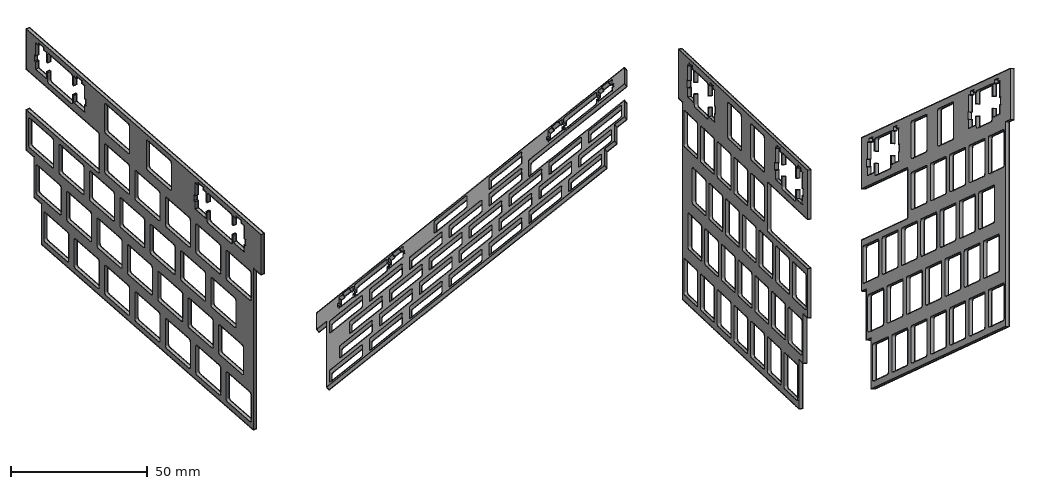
import cadquery as cq

plate_width = 147.2
plate_height = 95.3
plate_thickness = 1.5
row_count = 5
width_in_keys = 7.75
pitch = plate_height / row_count
side_trim = (width_in_keys * pitch - plate_width) / 2

switch_width = 15.6
switch_height = 14.0
corner_radius = 0.9

run_columns = {1: (3, 5), 2: (0.5, 7), 3: (0.75, 7), 4: (1, 7)}
single_columns = (3, 4.375)
stabilised_columns = (1.125, 6.375)

fourth_row_left = 0.25
fifth_row_left = 0.5
lower_right = 7.5

gap_depth = 45.8

pod_offset = 12.0
pod_width = 6.8
pod_top = 6.8
pod_bottom = -5.6
clip_width = 3.2
clip_top = 8.0
wire_channel_height = 4.5
ear_reach = 16.0
ear_top = 0.6
ear_bottom = -2.2


def grid_x(column):
    """X of a position given in pitches from the left of the key grid."""
    return (column - width_in_keys / 2) * pitch


def row_top(row):
    """Z of the upper edge of a row; row 0 is the top row."""
    return plate_height / 2 - row * pitch


def key_centre(column, row):
    return grid_x(column), row_top(row + 0.5)


def block(left, right, bottom, top):
    """Rectangular block through the full plate thickness."""
    return (
        cq.Workplane("XZ")
        .center((left + right) / 2, (bottom + top) / 2)
        .rect(right - left, top - bottom)
        .extrude(plate_thickness / 2, both=True)
    )


def make_plate():
    left = -plate_width / 2
    right = plate_width / 2
    step_right = grid_x(lower_right) - side_trim
    fourth_left = grid_x(fourth_row_left) + side_trim
    fifth_left = grid_x(fifth_row_left) + side_trim
    gap_end = left + gap_depth
    outline = [
        (left, row_top(0)),
        (right, row_top(0)),
        (right, row_top(1)),
        (step_right, row_top(1)),
        (step_right, row_top(5)),
        (fifth_left, row_top(5)),
        (fifth_left, row_top(4)),
        (fourth_left, row_top(4)),
        (fourth_left, row_top(3)),
        (left, row_top(3)),
        (left, row_top(2)),
        (gap_end, row_top(2)),
        (gap_end, row_top(1)),
        (left, row_top(1)),
    ]
    plate = cq.Workplane("XZ").polyline(outline).close().extrude(plate_thickness / 2, both=True)
    gap_corners = cq.selectors.BoxSelector(
        (gap_end - corner_radius, -plate_thickness, row_top(2) - corner_radius),
        (gap_end + corner_radius, plate_thickness, row_top(1) + corner_radius),
    )
    return plate.edges("|Y").edges(gap_corners).fillet(corner_radius)


def switch_cutters(centres):
    return (
        cq.Workplane("XZ")
        .pushPoints(centres)
        .rect(switch_width, switch_height)
        .extrude(plate_thickness / 2, both=True)
        .edges("|Y")
        .fillet(corner_radius)
    )


def stabiliser_cutter(centre):
    """Two pods with clip notches and outer ears, joined by the wire channel."""
    half_channel = wire_channel_height / 2
    cutter = block(-pod_offset, pod_offset, -half_channel, half_channel)
    cutter = cutter.union(block(-ear_reach, ear_reach, ear_bottom, ear_top))
    for pod_x in (-pod_offset, pod_offset):
        pod = block(pod_x - pod_width / 2, pod_x + pod_width / 2, pod_bottom, pod_top)
        clip = block(pod_x - clip_width / 2, pod_x + clip_width / 2, 0, clip_top)
        cutter = cutter.union(pod).union(clip)
    x, z = centre
    return cutter.translate((x, 0, z))


stabilised_centres = [key_centre(column, 0) for column in stabilised_columns]
switch_centres = stabilised_centres + [key_centre(column, 0) for column in single_columns]
for row, (first_column, count) in run_columns.items():
    switch_centres += [key_centre(first_column + i, row) for i in range(count)]

result = make_plate().cut(switch_cutters(switch_centres))
for centre in stabilised_centres:
    result = result.cut(stabiliser_cutter(centre))